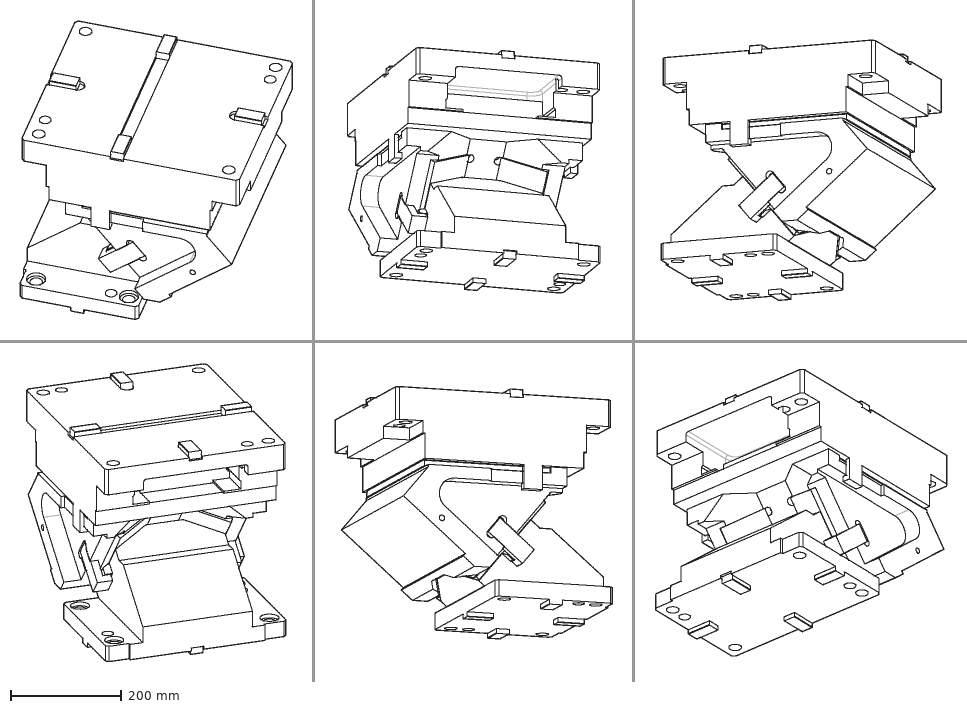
import cadquery as cq
import math

INCLINE = 50.0
COS_INCLINE = math.cos(math.radians(INCLINE))
SIN_INCLINE = math.sin(math.radians(INCLINE))
V_SLOPE = math.tan(math.radians(30.0))

overall_width = 350.0
half_width = overall_width / 2
corner_chamfer = 5.5
key_width = 24.8
key_length = 50.5
key_chamfer = 1.0
key_seat_depth = 6.0
bolt_y = 150.5
bolt_radius = 11.5

base_half_width = 106.3
guide_edge_rise = 215.0
guide_flat_half_width = 36.0
guide_start = -38.5
guide_end = 116.5

hook_start = 11.8
hook_end = 47.0
hook_outer_y = 140.0
hook_inner_y = 125.5
hook_lip_y = 110.0
hook_top_rise = 263.8
hook_slot_rise = 265.5
hook_bottom_rise = 178.5
hook_lip_thickness = 13.0
lug_outer_y = 121.0
lug_bottom_rise = 192.8

base_bottom = 9.0
flange_top = 39.0
flange_left = 5.0
flange_right = 229.5
nose_half_width = 130.5
nose_top = 69.7
crest_left = 100.0
crest_z = 153.0
base_key_left = 102.0
base_bolt_x = (30.0, 205.0)
counterbore_radius = 17.2
counterbore_depth = 7.0
base_dowels = ((171.5, -bolt_y), (63.0, bolt_y))
dowel_radius = 10.5

seat_z = 254.5
slide_left = 90.7
slide_right = 359.0
slide_left_bottom = 213.8
slide_bottom = 61.0
slide_face_rise = 223.5
slide_nose_rise = 429.0
slide_end = 121.5
slide_heel_end = 127.3
slide_heel_rise = 274.3
top_strip_left = 122.0
top_strip_right = 362.0
top_strip_bottom = 243.5
top_strip_y = 163.5
top_strip_lip_z = 253.3
top_strip_lip_y = 161.5
rail_bottom = 221.5
rail_y = 167.5
rail_end_x = 238.0
web_half_width = 141.5
side_pocket_end = 81.0
side_pocket_radius = 30.0
side_hole_along = 101.5
side_hole_rise = 349.0
side_hole_radius = 5.0
relief_radius = 7.5

pad_thickness = 4.0
pad_inner_y = 30.2
seat_flat_half_width = 34.5
pad_start = -82.0
pad_end = 116.0
pad_outer_y = 107.5
seat_relief_y = 27.5
seat_relief_depth = 21.0

plate_left = 9.0
plate_right = 420.0
plate_top = 384.0
plate_left_bottom = 334.5
plate_right_bottom = 323.5
body_left = 56.0
body_right = 369.5
foot_left = 61.5
foot_right = 366.0
foot_left_top = 284.5
foot_right_top = 301.0
holder_key_top = 393.0
cross_key_left = 177.0
cross_key_inset = 3.55
side_key_inset = 5.5
holder_left_hole_x = 35.0
holder_right_hole_x = 394.0
holder_dowels = ((holder_left_hole_x, -109.0), (holder_right_hole_x, 115.0))
claw_left = 140.3
claw_right = 176.0
claw_bottom = 210.5
claw_lip_y = 160.5
cavity_back = 143.0
cavity_half_width = 101.2
cavity_top = 354.5
cavity_corner_radius = 22.5
cavity_top_fillet = 5.5
tee_half_width = 104.5
tee_top = 306.5
tee_bottom = 288.0
tee_neck_half_width = 72.0
block_front = 109.0
block_top = 330.5
block_clearance = 3.8
tee_clearance = 1.3


def incline_point(along, rise):
    """X and Z of a point given along the incline and square to it."""
    x = along * COS_INCLINE + rise * SIN_INCLINE
    z = rise * COS_INCLINE - along * SIN_INCLINE
    return x, z


def incline_at_height(z, along=None, rise=None):
    """X and Z where a line of constant `along` or constant `rise` reaches height z."""
    if rise is None:
        return (along + z * SIN_INCLINE) / COS_INCLINE, z
    return (rise - z * COS_INCLINE) / SIN_INCLINE, z


def guide_rise(y):
    """Height of the V guide flank, square to the incline, at distance y from the middle."""
    return guide_edge_rise + V_SLOPE * (base_half_width - y)


def seat_rise(y):
    """Height of the slide's V seat flank, which clears the guide flank by the wear pad."""
    return guide_rise(y) + pad_thickness


def block(x0, x1, y0, y1, z0, z1):
    return cq.Workplane("XY").box(x1 - x0, y1 - y0, z1 - z0, centered=False).translate((x0, y0, z0))


def side_extrusion(points, y0, y1):
    """Polygon in XZ, extruded from y0 to y1."""
    return cq.Workplane("XZ", origin=(0, y0, 0)).polyline(points).close().extrude(y0 - y1)


def cross_section(points, start, end):
    """Polygon of (y, rise) points, extruded along the incline from start to end."""
    x, z = incline_point(start, 0)
    plane = cq.Plane(origin=(x, 0, z), xDir=(0, 1, 0), normal=(COS_INCLINE, 0, -SIN_INCLINE))
    return cq.Workplane(plane).polyline(points).close().extrude(end - start)


def incline_box(along0, along1, rise0, rise1, y0, y1):
    corners = ((along0, rise0), (along1, rise0), (along1, rise1), (along0, rise1))
    return side_extrusion([incline_point(*corner) for corner in corners], y0, y1)


def y_cylinder(along, rise, radius, y0, y1):
    x, z = incline_point(along, rise)
    return cq.Workplane("XZ", origin=(0, y0, 0)).center(x, z).circle(radius).extrude(y0 - y1)


def z_cylinder(x, y, radius, z0, z1):
    return cq.Workplane("XY", origin=(x, y, z0)).circle(radius).extrude(z1 - z0)


def mirrored(points):
    """A left-right symmetric outline from its +Y half."""
    return points + [(-y, height) for y, height in reversed(points)]


def both_sides(solid):
    return solid.union(solid.mirror("XZ"))


def make_base():
    guide_flat_rise = guide_rise(guide_flat_half_width)
    outline = [
        (0, base_bottom),
        (0, nose_top),
        (crest_left, crest_z),
        incline_at_height(crest_z, along=guide_start),
        incline_point(guide_start, guide_flat_rise),
        incline_point(guide_end, guide_flat_rise),
        incline_at_height(flange_top, along=guide_end),
        (flange_right, base_bottom),
    ]
    base = side_extrusion(outline, -base_half_width, base_half_width)

    flank = [
        (guide_flat_half_width, guide_flat_rise),
        (base_half_width, guide_flat_rise),
        (base_half_width, guide_edge_rise),
    ]
    base = base.cut(both_sides(cross_section(flank, guide_start, guide_end)))

    flange = block(flange_left, flange_right, -half_width, half_width, base_bottom, flange_top)
    base = base.union(flange.edges("|Z").chamfer(corner_chamfer))
    nose = block(0, crest_left, -nose_half_width, nose_half_width, base_bottom, flange_top)
    base = base.union(nose)

    lug = [
        (base_half_width, lug_bottom_rise),
        (base_half_width, guide_edge_rise),
        (lug_outer_y, guide_rise(lug_outer_y)),
        (lug_outer_y, lug_bottom_rise),
    ]
    base = base.union(both_sides(cross_section(lug, hook_start, hook_end)))

    half_key = key_width / 2
    base = base.cut(block(0, flange_left, -half_key, half_key, base_bottom, base_bottom + key_seat_depth))
    for x in (flange_left, flange_right - key_length):
        key = block(x, x + key_length, -half_key, half_key, 0, base_bottom)
        base = base.union(key.faces("<Z").edges("|X").chamfer(key_chamfer))
    key_x1 = base_key_left + key_width
    end_key = block(base_key_left, key_x1, half_width - key_length, half_width, 0, base_bottom)
    base = base.union(both_sides(end_key.faces("<Z").edges("|Y").chamfer(key_chamfer)))

    counterbore_floor = flange_top - counterbore_depth
    for x in base_bolt_x:
        for y in (-bolt_y, bolt_y):
            base = base.cut(z_cylinder(x, y, bolt_radius, base_bottom, flange_top))
            base = base.cut(z_cylinder(x, y, counterbore_radius, counterbore_floor, flange_top))
    for x, y in base_dowels:
        base = base.cut(z_cylinder(x, y, dowel_radius, base_bottom, flange_top))
    return base


def slide_side_pocket():
    """Recess in the +Y side, under the rail, with one round corner."""
    radius = side_pocket_radius
    center_z = rail_bottom - radius
    center_x = incline_at_height(center_z, along=side_pocket_end - radius)[0]
    middle_angle = math.radians((90.0 - INCLINE) / 2)
    arc_middle = (center_x + radius * math.cos(middle_angle), center_z + radius * math.sin(middle_angle))
    arc_end = (center_x + radius * COS_INCLINE, center_z - radius * SIN_INCLINE)
    return (
        cq.Workplane("XZ", origin=(0, web_half_width, 0))
        .moveTo(slide_left, rail_bottom)
        .lineTo(center_x, rail_bottom)
        .threePointArc(arc_middle, arc_end)
        .lineTo(*incline_point(side_pocket_end, hook_bottom_rise))
        .lineTo(slide_left, slide_bottom)
        .close()
        .extrude(web_half_width - half_width)
    )


def slide_hook():
    """L-shaped return hook on the +Y side."""
    lip_top = hook_bottom_rise + hook_lip_thickness
    leg = incline_box(hook_start, hook_end, hook_bottom_rise, hook_top_rise, hook_inner_y, hook_outer_y)
    lip = incline_box(hook_start, hook_end, hook_bottom_rise, lip_top, hook_lip_y, hook_outer_y)
    return leg.union(lip)


def hook_slot():
    """Slot for a hook, with round reliefs in its two inner corners."""
    slot = incline_box(hook_start, hook_end, hook_bottom_rise, hook_slot_rise, hook_inner_y, half_width)
    for along in (hook_start, hook_end):
        rise = hook_slot_rise - relief_radius
        slot = slot.union(y_cylinder(along, rise, relief_radius, hook_inner_y, half_width))
    return slot


def make_slide():
    outline = [
        (slide_left, seat_z),
        (top_strip_right, seat_z),
        (top_strip_right, top_strip_bottom),
        (slide_right, top_strip_bottom),
        (slide_right, (slide_nose_rise - slide_right * SIN_INCLINE) / COS_INCLINE),
        incline_point(slide_end, slide_nose_rise),
        incline_point(slide_end, slide_heel_rise),
        incline_point(slide_heel_end, slide_heel_rise),
        incline_at_height(slide_bottom, along=slide_heel_end),
        incline_at_height(slide_bottom, rise=slide_face_rise),
        incline_at_height(slide_left_bottom, rise=slide_face_rise),
        (slide_left, slide_left_bottom),
    ]
    slide = side_extrusion(outline, -half_width, half_width)

    slide = slide.cut(both_sides(slide_side_pocket()))
    slide = slide.cut(both_sides(block(slide_left, rail_end_x, rail_y, half_width, rail_bottom, seat_z)))
    strip_cut = block(top_strip_left, top_strip_right, top_strip_y, half_width, top_strip_bottom, seat_z)
    slide = slide.cut(both_sides(strip_cut))
    lip_cut = block(top_strip_left, top_strip_right, top_strip_lip_y, half_width, top_strip_lip_z, seat_z)
    slide = slide.cut(both_sides(lip_cut))

    v_seat = mirrored([
        (seat_flat_half_width, seat_rise(seat_flat_half_width)),
        (half_width, seat_rise(half_width)),
    ])
    seat_flat_rise = seat_rise(seat_flat_half_width)
    slide = slide.cut(cross_section(v_seat, -seat_flat_rise, seat_flat_rise))

    seat_meets_face_y = base_half_width - (slide_face_rise - seat_rise(base_half_width)) / V_SLOPE
    pad_edge_height = slide_face_rise - guide_rise(pad_outer_y)
    pad = [
        (seat_flat_half_width, seat_flat_rise),
        (pad_inner_y, guide_rise(pad_inner_y)),
        (pad_outer_y, guide_rise(pad_outer_y)),
        (pad_outer_y + pad_edge_height * V_SLOPE, slide_face_rise),
        (seat_meets_face_y, slide_face_rise),
    ]
    slide = slide.union(both_sides(cross_section(pad, pad_start, pad_end)))

    x, z = incline_point(pad_start + relief_radius, seat_flat_rise)
    plane = cq.Plane(origin=(x, seat_relief_y, z), xDir=(0, 1, 0), normal=(SIN_INCLINE, 0, COS_INCLINE))
    relief = cq.Workplane(plane).circle(relief_radius).extrude(seat_relief_depth)
    slide = slide.cut(both_sides(relief))

    slide = slide.cut(both_sides(hook_slot()))
    slide = slide.union(both_sides(slide_hook()))
    hole = y_cylinder(side_hole_along, side_hole_rise, side_hole_radius, web_half_width, half_width)
    return slide.cut(both_sides(hole))


def tee_outline(clearance, stem_half_width, top):
    """Symmetric T-shaped (y, z) outline, shrunk by a clearance everywhere but at its stem and floor."""
    outer_y = tee_half_width - clearance
    return mirrored([
        (tee_neck_half_width - clearance, foot_left_top),
        (tee_neck_half_width - clearance, tee_bottom + clearance),
        (outer_y, tee_bottom + clearance),
        (outer_y, tee_top - (outer_y - stem_half_width)),
        (stem_half_width, tee_top),
        (stem_half_width, top),
    ])


def x_extrusion(points, x0, x1):
    return cq.Workplane("YZ", origin=(x0, 0, 0)).polyline(points).close().extrude(x1 - x0)


def holder_cavity():
    """T-shaped recess open to -X, round-cornered in plan above the T, around a central block."""
    upper = block(plate_left, cavity_back, -cavity_half_width, cavity_half_width, tee_top, cavity_top)
    upper = upper.edges(">X and |Z").fillet(cavity_corner_radius)
    upper = upper.faces(">Z").edges("not <X").fillet(cavity_top_fillet)
    lower_top = (tee_top + block_top) / 2
    lower = x_extrusion(tee_outline(0, cavity_half_width, lower_top), plate_left, cavity_back)
    stem_half_width = cavity_half_width - block_clearance
    central = x_extrusion(tee_outline(tee_clearance, stem_half_width, block_top), block_front, cavity_back)
    return upper.union(lower).cut(central)


def make_holder():
    outline = [
        (plate_left, plate_top),
        (plate_right, plate_top),
        (plate_right, plate_right_bottom),
        (body_right, plate_right_bottom),
        (body_right, foot_right_top),
        (foot_right, foot_right_top),
        (foot_right, seat_z),
        (foot_left, seat_z),
        (foot_left, foot_left_top),
        (body_left, foot_left_top),
        (body_left, plate_left_bottom),
        (plate_left, plate_left_bottom),
    ]
    holder = side_extrusion(outline, -half_width, half_width)
    holder = holder.edges("|Z and (<X or >X)").chamfer(corner_chamfer)
    holder = holder.cut(holder_cavity())

    pad_y = cavity_half_width
    pad = block(foot_right, plate_right, -pad_y, pad_y, foot_right_top, plate_right_bottom)
    holder = holder.union(pad)

    leg = block(claw_left, claw_right, rail_y, half_width, claw_bottom, seat_z)
    lip = block(claw_left, claw_right, claw_lip_y, half_width, claw_bottom, rail_bottom)
    holder = holder.union(both_sides(leg.union(lip)))

    half_key = key_width / 2
    seat_floor = plate_top - key_seat_depth
    key_x0 = cross_key_left
    key_x1 = cross_key_left + key_width
    holder = holder.cut(block(key_x0, key_x1, -half_width, half_width, seat_floor, plate_top))
    left_key_x = plate_left + side_key_inset
    right_key_x = plate_right - side_key_inset
    for edge_x, key_end in ((plate_left, left_key_x + key_length), (plate_right, right_key_x - key_length)):
        x0, x1 = sorted((edge_x, key_end))
        holder = holder.cut(block(x0, x1, -half_key, half_key, seat_floor, plate_top))
        holder = holder.cut(z_cylinder(key_end, 0, half_key, seat_floor, plate_top))

    for x0 in (left_key_x, right_key_x - key_length):
        key = block(x0, x0 + key_length, -half_key, half_key, seat_floor, holder_key_top)
        holder = holder.union(key.faces(">Z").edges("|X").chamfer(key_chamfer))
    key_y1 = half_width - cross_key_inset
    key = block(key_x0, key_x1, key_y1 - key_length, key_y1, seat_floor, holder_key_top)
    holder = holder.union(both_sides(key.faces(">Z").edges("|Y").chamfer(key_chamfer)))

    for x in (holder_left_hole_x, holder_right_hole_x):
        for y in (-bolt_y, bolt_y):
            holder = holder.cut(z_cylinder(x, y, bolt_radius, plate_right_bottom, plate_top))
    for x, y in holder_dowels:
        holder = holder.cut(z_cylinder(x, y, dowel_radius, plate_right_bottom, plate_top))
    return holder


base = make_base()
slide = make_slide()
holder = make_holder()
result = cq.Compound.makeCompound([base.solids().val(), slide.solids().val(), holder.solids().val()])